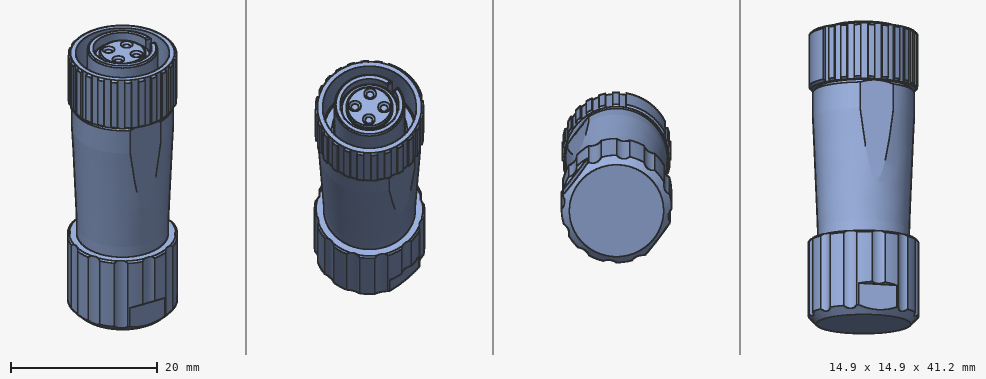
import cadquery as cq
import math

total_height = 41.15

nut_width = 14.9
nut_height = 11.5
nut_top_chamfer = 0.25
nut_bevel_height = 1.1
nut_base_radius = 6.4
flute_count = 12
flute_half_width = 0.9
nut_radius = math.hypot(nut_width / 2, flute_half_width)
flute_depth = 0.35
wrench_flat_offset = 7.0
wrench_flat_height = 4.1
wrench_flat_slope_rise = 0.3

neck_radius = 6.25
taper_bottom = 13.1
taper_top = 28.6
body_radius = 6.9
shoulder_bottom = 32.2
shoulder_height = 0.45
body_flat_offset = 6.5

ring_bottom = shoulder_bottom + shoulder_height
ring_top = 40.4
ring_radius = 7.35
ring_chamfer = 0.3
ring_groove_radius = ring_radius - ring_chamfer
ring_bore_radius = 6.38
ring_floor = 33.73
lip_radius = 6.2
lip_height = 0.2
ring_rib_count = 24
ring_rib_width = 0.9
pad_half_angle = 26.5
pad_radius = 7.4
pad_chamfer = 0.33

nozzle_radius = 4.77
nozzle_bore_radius = 4.0
nozzle_chamfer = 0.2
collar_radius = 5.15
collar_height = 0.4
collar_chamfer = 0.25

insert_top = 39.9
insert_chamfer = 0.25
disc_radius = 3.15
disc_height = 0.65
disc_chamfer = 0.2
contact_offset = 1.4
contact_hole_radius = 0.82
contact_hole_depth = 0.3
contact_seat_radius = 0.5

key_half_width = 0.58
key_floor = 37.85
key_chamfer = 0.2
ring_key_inner = 5.68
ring_key_depth = 0.4


def cylinder(radius, bottom, top):
    return cq.Workplane("XY").workplane(offset=bottom).circle(radius).extrude(top - bottom)


def revolve_profile(points):
    """Revolve a closed (radius, height) profile about the Z axis."""
    return cq.Workplane("XZ").polyline(points).close().revolve(360, (0, 0, 0), (0, 1, 0))


def box_between(x_min, x_max, y_min, y_max, z_min, z_max):
    size = (x_max - x_min, y_max - y_min, z_max - z_min)
    return cq.Workplane("XY").box(*size, centered=False).translate((x_min, y_min, z_min))


def on_both_x_sides(cutter):
    return cutter.union(cutter.mirror("YZ"))


def make_nut():
    nut = revolve_profile([
        (0, 0),
        (nut_base_radius, 0),
        (nut_radius, nut_bevel_height),
        (nut_radius, nut_height - nut_top_chamfer),
        (nut_radius - nut_top_chamfer, nut_height),
        (0, nut_height),
    ])

    sagitta = nut_width / 2 - (nut_radius - flute_depth)
    flute_radius = (flute_half_width**2 + sagitta**2) / (2 * sagitta)
    flute_center = nut_radius - flute_depth + flute_radius
    flutes = (
        cq.Workplane("XY")
        .polarArray(flute_center, 0, 360, flute_count)
        .circle(flute_radius)
        .extrude(nut_height)
    )
    nut = nut.cut(flutes)

    flat_profile = [
        (wrench_flat_offset, 0),
        (nut_radius, 0),
        (nut_radius, wrench_flat_height + wrench_flat_slope_rise),
        (wrench_flat_offset, wrench_flat_height),
    ]
    flat = cq.Workplane("XZ").polyline(flat_profile).close().extrude(nut_radius, both=True)
    return nut.cut(on_both_x_sides(flat))


def make_body():
    body = revolve_profile([
        (0, nut_height),
        (neck_radius, nut_height),
        (neck_radius, taper_bottom),
        (body_radius, taper_top),
        (body_radius, shoulder_bottom),
        (body_radius - shoulder_height, ring_bottom),
        (0, ring_bottom),
    ])
    side = box_between(
        body_flat_offset, body_radius, -body_radius, body_radius, taper_bottom, ring_bottom
    )
    return body.cut(on_both_x_sides(side))


def make_ring():
    rib_blank = cylinder(ring_radius, ring_bottom, ring_top).edges().chamfer(ring_chamfer)
    pad_blank = cylinder(pad_radius, ring_bottom, ring_top).edges().chamfer(pad_chamfer)
    height = ring_top - ring_bottom

    pitch = 360 / ring_rib_count
    ribs = (
        cq.Workplane("XY")
        .workplane(offset=ring_bottom)
        .polarArray(ring_radius, pitch / 2, 360, ring_rib_count)
        .rect(ring_radius / 4, ring_rib_width)
        .extrude(height)
    )

    reach = 2 * ring_radius
    pad_half_width = reach * math.tan(math.radians(pad_half_angle))
    pad = (
        cq.Workplane("XY")
        .workplane(offset=ring_bottom)
        .polyline([(0, 0), (pad_half_width, reach), (-pad_half_width, reach)])
        .close()
        .extrude(height)
    )
    core = cylinder(ring_groove_radius, ring_bottom, ring_top)
    ring = core.union(rib_blank.intersect(ribs)).union(pad_blank.intersect(pad))

    ring = ring.cut(cylinder(ring_bore_radius, ring_floor + lip_height, ring_top))
    ring = ring.cut(cylinder(lip_radius, ring_floor, ring_top))
    keyway = box_between(
        -key_half_width, key_half_width, ring_key_inner, ring_bore_radius,
        ring_floor - ring_key_depth, ring_floor + lip_height,
    )
    return ring.cut(keyway)


def make_nozzle():
    collar_top = ring_floor + collar_height
    nozzle = cylinder(nozzle_radius, ring_floor, total_height).faces(">Z").edges().chamfer(nozzle_chamfer)
    collar = cylinder(collar_radius, ring_floor, collar_top).faces(">Z").edges().chamfer(collar_chamfer)
    nozzle = nozzle.union(collar).cut(cylinder(nozzle_bore_radius, key_floor, total_height))

    half_rim = key_half_width + key_chamfer
    keyway = (
        cq.Workplane("XZ")
        .moveTo(-key_half_width, key_floor + key_half_width)
        .threePointArc((0, key_floor), (key_half_width, key_floor + key_half_width))
        .lineTo(key_half_width, total_height - key_chamfer)
        .lineTo(half_rim, total_height)
        .lineTo(-half_rim, total_height)
        .lineTo(-key_half_width, total_height - key_chamfer)
        .close()
        .extrude(-nozzle_radius)
    )
    return nozzle.cut(keyway)


def make_insert():
    insert = cylinder(nozzle_bore_radius, ring_floor, insert_top).faces(">Z").edges().chamfer(insert_chamfer)
    disc_top = insert_top + disc_height
    disc = cylinder(disc_radius, insert_top, disc_top).faces(">Z").edges().chamfer(disc_chamfer)
    insert = insert.union(disc)

    lead_in = revolve_profile([
        (0, disc_top),
        (contact_hole_radius, disc_top),
        (contact_seat_radius, disc_top - contact_hole_depth),
        (0, disc_top - contact_hole_depth),
    ])
    for x in (-contact_offset, contact_offset):
        for y in (-contact_offset, contact_offset):
            insert = insert.cut(lead_in.translate((x, y, 0)))
    return insert


result = make_nut().union(make_body()).union(make_ring()).union(make_nozzle()).union(make_insert())